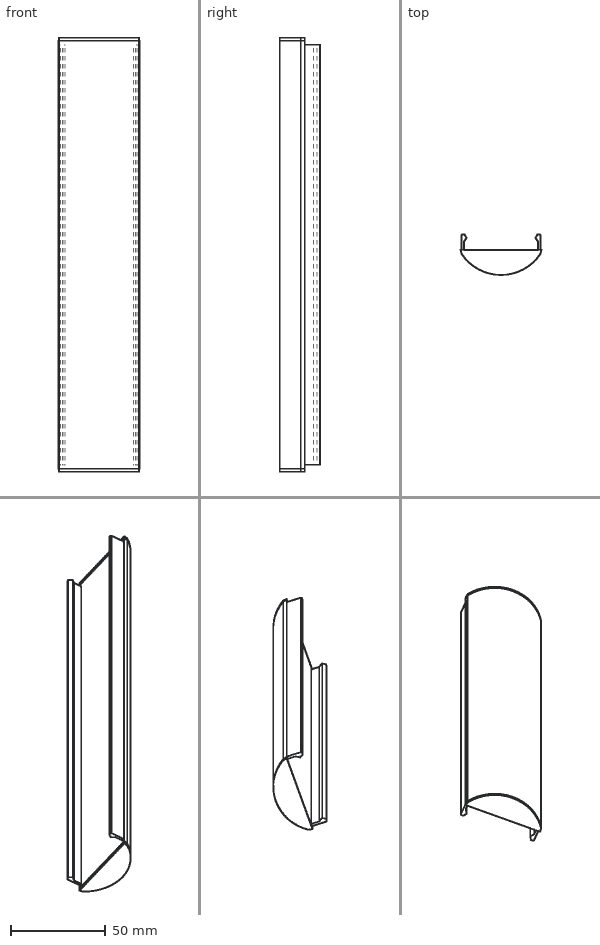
import cadquery as cq

LENGTH = 230.0
WIDTH = 43.0
DEPTH = 21.6

COVER_DEPTH = 13.3
LIP_DEPTH = 2.0
LIP_TAPER = 0.58

CAP_THICKNESS = 1.5
CAP_SIDE_INSET = 0.2

LEG_THICKNESS = 1.4
LEG_END_GAP = 3.7
TIP_CHAMFER = 0.5
HOOK_REACH = 1.4
HOOK_TOP_FLAT = 1.5
HOOK_PEAK_DROP = 1.8
HOOK_HEIGHT = 4.0

HALF_WIDTH = WIDTH / 2
ARC_HALF_WIDTH = HALF_WIDTH - LIP_TAPER
LEG_HEIGHT = DEPTH - COVER_DEPTH
COVER_LENGTH = LENGTH - 2 * CAP_THICKNESS
LEG_LENGTH = LENGTH - 2 * LEG_END_GAP


def bowed_outline(back_half_width, bottom):
    """Closed outline with a flat back, two short tapered sides and an arched front."""
    return (
        cq.Workplane("XY")
        .workplane(offset=bottom)
        .moveTo(-back_half_width, 0)
        .lineTo(-ARC_HALF_WIDTH, -LIP_DEPTH)
        .threePointArc((0, -COVER_DEPTH), (ARC_HALF_WIDTH, -LIP_DEPTH))
        .lineTo(back_half_width, 0)
        .close()
    )


def make_leg(side):
    """Snap leg with an inward hook; side is -1 for left and 1 for right."""
    outer = ARC_HALF_WIDTH
    inner = outer - LEG_THICKNESS
    outline = [
        (outer, 0),
        (outer, LEG_HEIGHT - TIP_CHAMFER),
        (outer - TIP_CHAMFER, LEG_HEIGHT),
        (outer - HOOK_TOP_FLAT, LEG_HEIGHT),
        (inner - HOOK_REACH, LEG_HEIGHT - HOOK_PEAK_DROP),
        (inner, LEG_HEIGHT - HOOK_HEIGHT),
        (inner, 0),
    ]
    return (
        cq.Workplane("XY")
        .workplane(offset=LEG_END_GAP)
        .polyline([(side * x, y) for x, y in outline])
        .close()
        .extrude(LEG_LENGTH)
    )


def make_cover():
    """Bowed cover with its two snap legs."""
    cover = bowed_outline(HALF_WIDTH, CAP_THICKNESS).extrude(COVER_LENGTH)
    for side in (-1, 1):
        cover = cover.union(make_leg(side))
    return cover


def make_end_cap(bottom):
    """Plate closing one end of the cover, slightly narrower at the back."""
    return bowed_outline(HALF_WIDTH - CAP_SIDE_INSET, bottom).extrude(CAP_THICKNESS)


cover = make_cover()
end_caps = [make_end_cap(bottom) for bottom in (0, LENGTH - CAP_THICKNESS)]

result = cq.Compound.makeCompound([cover.val(), *[cap.val() for cap in end_caps]])